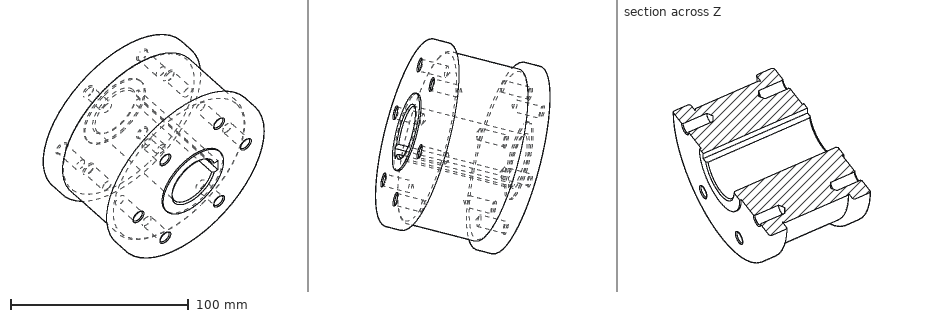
import cadquery as cq
import math

total_length = 68.0
flange_diameter = 109.0
flange_width = 11.7
flange_rounding = 1.5

drum_diameter = 100.0
drum_end_rounding = 1.2

boss_diameter = 45.0
boss_height = 1.0

bore_diameter = 30.0
bore_chamfer = 1.0
keyway_width = 8.0
keyway_reach = 18.2

hole_count = 6
hole_circle_diameter = 80.0
hole_diameter = 6.8
hole_mouth_diameter = 8.1
hole_depth = 16.0
drill_point_angle = 118.0

flange_span = total_length - 2 * boss_height
drum_length = flange_span - 2 * flange_width


def disc(diameter, length, start_x):
    """Cylinder along X, beginning at start_x."""
    return cq.Workplane("YZ").workplane(offset=start_x).circle(diameter / 2).extrude(length)


def make_body():
    """Drum with rounded ends, a rounded flange at each end and a boss through both flanges."""
    drum = disc(drum_diameter, drum_length, -drum_length / 2).edges().fillet(drum_end_rounding)
    body = drum.union(disc(boss_diameter, total_length, -total_length / 2))
    for start_x in (-flange_span / 2, drum_length / 2):
        flange = disc(flange_diameter, flange_width, start_x).edges().fillet(flange_rounding)
        body = body.union(flange)
    return body


def make_bore():
    """Through bore, widened by a chamfer at both mouths."""
    half_length = total_length / 2
    bore_radius = bore_diameter / 2
    mouth_radius = bore_radius + bore_chamfer
    half_profile = [
        (-half_length, 0),
        (-half_length, mouth_radius),
        (-half_length + bore_chamfer, bore_radius),
        (half_length - bore_chamfer, bore_radius),
        (half_length, mouth_radius),
        (half_length, 0),
    ]
    return cq.Workplane("XY").polyline(half_profile).close().revolve(360, (0, 0, 0), (1, 0, 0))


def make_keyway():
    """Rectangular slot along the whole bore."""
    slot = cq.Workplane("XY").box(total_length, keyway_reach, keyway_width)
    return slot.translate((0, keyway_reach / 2, 0))


def make_face_holes():
    """Ring of countersunk, cone-bottomed holes entering the -X flange face."""
    radius = hole_diameter / 2
    mouth_radius = hole_mouth_diameter / 2
    mouth_depth = mouth_radius - radius
    point_depth = radius / math.tan(math.radians(drill_point_angle / 2))
    half_profile = [
        (0, 0),
        (0, mouth_radius),
        (mouth_depth, radius),
        (hole_depth, radius),
        (hole_depth + point_depth, 0),
    ]
    hole = cq.Workplane("XY").polyline(half_profile).close().revolve(360, (0, 0, 0), (1, 0, 0))
    hole = hole.translate((-flange_span / 2, hole_circle_diameter / 2, 0))
    holes = cq.Workplane("XY")
    for index in range(hole_count):
        holes = holes.add(hole.rotate((0, 0, 0), (1, 0, 0), index * 360 / hole_count))
    return holes.combine()


face_holes = make_face_holes()
result = (
    make_body()
    .cut(make_bore())
    .cut(make_keyway())
    .cut(face_holes)
    .cut(face_holes.mirror("YZ"))
)